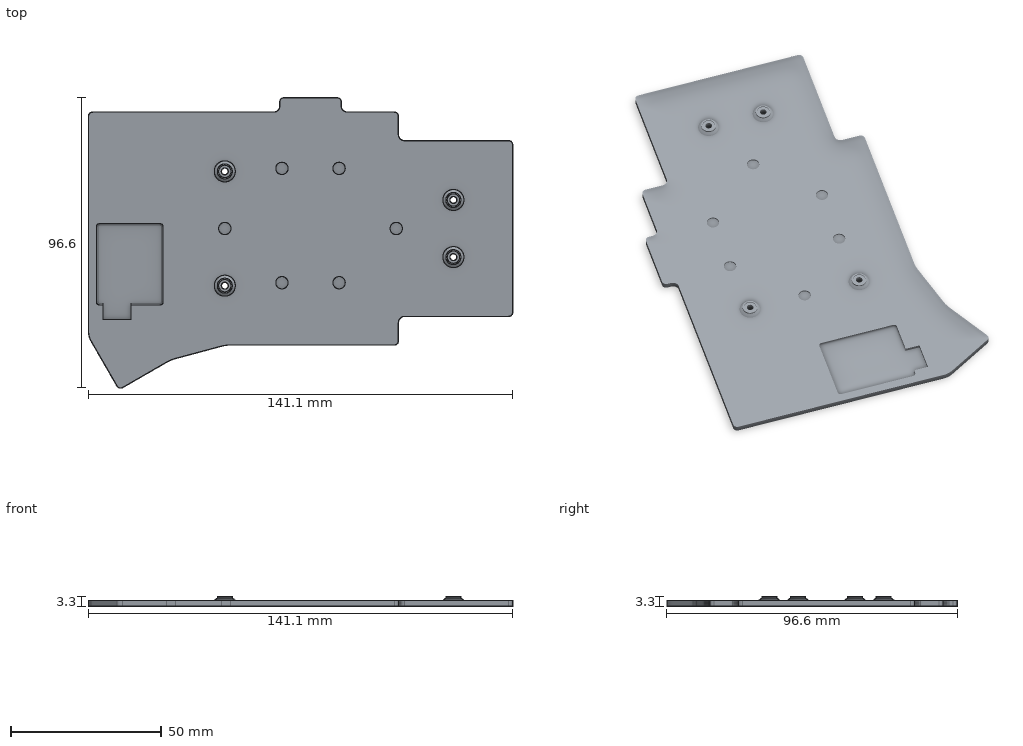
import cadquery as cq
import math

pitch = 19.0
edge_margin = 0.75

plate_length = 141.1
plate_thickness = 2.0
body_height = 4 * pitch + 2 * edge_margin
plate_depth = 96.58
tab_height = pitch / 4
tab_width = pitch + 2 * edge_margin
wing_length = 2 * pitch
wing_step = pitch / 2
convex_radius = 1.4
concave_radius = 2.0

thumb_tip_x = 10.2
thumb_angle = math.radians(30)
ramp_angle = math.radians(15)
thumb_knee_x = 27.4
knee_radius = 12.0
left_corner_radius = 6.5

boss_diameter = 5.0
boss_height = 1.3
boss_foot_width = 1.0
boss_foot_height = 0.8
boss_recess_diameter = 4.1
boss_recess_depth = 0.3
screw_hole_diameter = 2.2

recess_diameter = 4.1
recess_depth = 0.5
recess_offset = 1.0

pocket_length = 22.2
pocket_width = 27.0
pocket_depth = 1.0
pocket_left = 2.65
pocket_bottom = 27.7
pocket_corner_radius = 1.0
pocket_floor_radius = 0.5
outlet_left = 4.8
outlet_length = 9.3
outlet_width = 4.8

body_top = plate_depth - tab_height
body_bottom = body_top - body_height
wing_left = plate_length - wing_length
column_x = plate_length - edge_margin - 5 * pitch
tab_center_x = column_x + 1.5 * pitch
row_y = body_top - edge_margin - pitch


def make_plate():
    tip_y = -convex_radius * (math.cos(math.pi / 4 - thumb_angle) * math.sqrt(2) - 1)
    left_corner_y = tip_y + thumb_tip_x / math.tan(thumb_angle)
    knee_y = tip_y + (thumb_knee_x - thumb_tip_x) * math.tan(thumb_angle)
    ramp_end_x = thumb_knee_x + (body_bottom - knee_y) / math.tan(ramp_angle)
    tab_left = tab_center_x - tab_width / 2
    tab_right = tab_center_x + tab_width / 2
    wing_top = body_top - wing_step
    wing_bottom = body_bottom + wing_step
    corners = [
        (0, left_corner_y, left_corner_radius),
        (thumb_tip_x, tip_y, convex_radius),
        (thumb_knee_x, knee_y, knee_radius),
        (ramp_end_x, body_bottom, knee_radius),
        (wing_left, body_bottom, convex_radius),
        (wing_left, wing_bottom, concave_radius),
        (plate_length, wing_bottom, convex_radius),
        (plate_length, wing_top, convex_radius),
        (wing_left, wing_top, concave_radius),
        (wing_left, body_top, convex_radius),
        (tab_right, body_top, concave_radius),
        (tab_right, plate_depth, convex_radius),
        (tab_left, plate_depth, convex_radius),
        (tab_left, body_top, concave_radius),
        (0, body_top, convex_radius),
    ]
    outline = [(x, y) for x, y, _ in corners]
    plate = cq.Workplane("XY").polyline(outline).close().extrude(plate_thickness)
    for x, y, radius in corners:
        corner = cq.selectors.NearestToPointSelector((x, y, plate_thickness / 2))
        plate = plate.edges("|Z").edges(corner).fillet(radius)
    return plate


def make_boss():
    """Half profile revolved into a recessed boss with a conical foot, standing on Z = 0."""
    radius = boss_diameter / 2
    recess_radius = boss_recess_diameter / 2
    recess_floor = boss_height - boss_recess_depth
    profile = [
        (0, 0),
        (radius + boss_foot_width, 0),
        (radius, boss_foot_height),
        (radius, boss_height),
        (recess_radius, boss_height),
        (recess_radius, recess_floor),
        (0, recess_floor),
    ]
    return cq.Workplane("XZ").polyline(profile).close().revolve(360, (0, 0, 0), (0, 1, 0))


def add_bosses(plate):
    right_column_x = column_x + 4 * pitch
    centers = [
        (column_x, row_y),
        (column_x, row_y - 2 * pitch),
        (right_column_x, row_y - pitch / 2),
        (right_column_x, row_y - 1.5 * pitch),
    ]
    boss = make_boss()
    for x, y in centers:
        plate = plate.union(boss.translate((x, y, plate_thickness)))
    holes = (
        cq.Workplane("XY")
        .pushPoints(centers)
        .circle(screw_hole_diameter / 2)
        .extrude(plate_thickness + boss_height)
    )
    return plate.cut(holes)


def cut_recesses(plate):
    middle_y = row_y - pitch
    centers = [(column_x, middle_y), (column_x + 3 * pitch, middle_y)]
    for column in (1, 2):
        for row in (0, 2):
            centers.append((column_x + column * pitch, row_y + recess_offset - row * pitch))
    recesses = (
        cq.Workplane("XY")
        .workplane(offset=plate_thickness - recess_depth)
        .pushPoints(centers)
        .circle(recess_diameter / 2)
        .extrude(recess_depth)
    )
    return plate.cut(recesses)


def cut_battery_pocket(plate):
    floor = plate_thickness - pocket_depth
    pocket = (
        cq.Workplane("XY")
        .box(pocket_length, pocket_width, pocket_depth, centered=False)
        .edges("|Z")
        .fillet(pocket_corner_radius)
        .faces("<Z")
        .edges()
        .fillet(pocket_floor_radius)
        .translate((pocket_left, pocket_bottom, floor))
    )
    overlap = 2 * pocket_floor_radius
    outlet = (
        cq.Workplane("XY")
        .box(outlet_length, outlet_width + overlap, pocket_depth, centered=False)
        .translate((outlet_left, pocket_bottom - outlet_width, floor))
    )
    return plate.cut(pocket).cut(outlet)


result = cut_battery_pocket(cut_recesses(add_bosses(make_plate())))